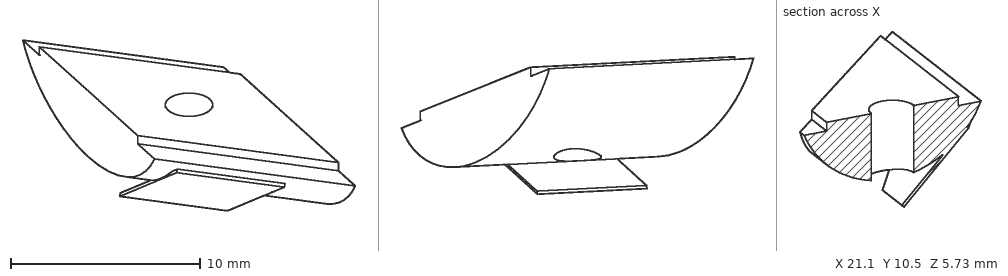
import cadquery as cq
import math

body_length = 11.0
body_width = 10.46
body_height = 4.0
flat_width = 7.8
flat_height = 0.5
end_run = 10.07

hole_diameter = 2.5

plate_length = 5.9
plate_breadth = 6.53
plate_thickness = 0.2
plate_run = 4.38
plate_tilt = math.radians(45.0)
plate_center_x = 1.53
plate_center_y = -2.92
plate_bottom_z = -5.73

plate_rise = plate_breadth * math.sin(plate_tilt) + plate_thickness * math.cos(plate_tilt)
plate_center_z = plate_bottom_z + plate_rise / 2


def parallelogram(workplane, length, breadth, run):
    """Centered parallelogram with two sides along local X; the +Y side is shifted by run."""
    half_length = length / 2
    half_breadth = breadth / 2
    half_run = run / 2
    corners = [
        (-half_length - half_run, -half_breadth),
        (half_length - half_run, -half_breadth),
        (half_length + half_run, half_breadth),
        (-half_length + half_run, half_breadth),
    ]
    return workplane.polyline(corners).close()


def make_body():
    half_width = body_width / 2
    half_flat = flat_width / 2
    section = (
        cq.Workplane("YZ")
        .moveTo(-half_flat, 0)
        .lineTo(half_flat, 0)
        .lineTo(half_flat, -flat_height)
        .lineTo(half_width, -flat_height)
        .threePointArc((0, -body_height), (-half_width, -flat_height))
        .lineTo(-half_flat, -flat_height)
        .close()
    )
    bar = section.extrude((body_length + end_run) / 2, both=True)
    plan = parallelogram(cq.Workplane("XY"), body_length, body_width, -end_run)
    return bar.intersect(plan.extrude(-body_height))


def make_hole():
    return cq.Workplane("XY").circle(hole_diameter / 2).extrude(-body_height)


def make_plate():
    sheet_plane = cq.Plane(
        origin=(plate_center_x, plate_center_y, plate_center_z),
        xDir=(1, 0, 0),
        normal=(0, -math.sin(plate_tilt), -math.cos(plate_tilt)),
    )
    outline = parallelogram(cq.Workplane(sheet_plane), plate_length, plate_breadth, plate_run)
    return outline.extrude(plate_thickness / 2, both=True)


result = make_body().cut(make_hole()).union(make_plate())